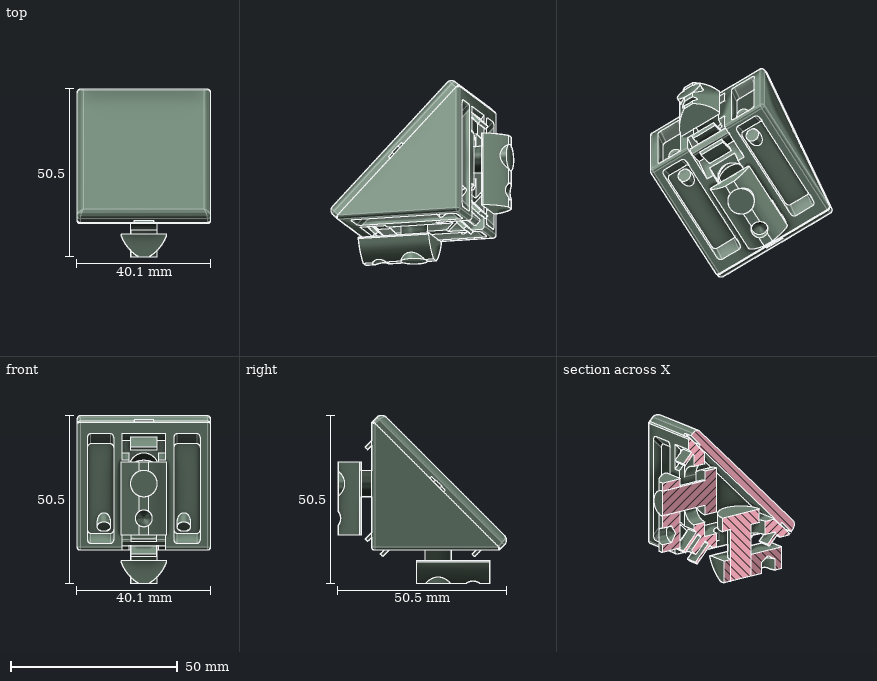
import cadquery as cq
import math


ROOT2 = math.sqrt(2)

RISE = cq.Vector(0, 1, 1)
ALONG_RISE = cq.selectors.ParallelDirSelector(RISE)
OUTERMOST = cq.selectors.DirectionMinMaxSelector(RISE, True)
INNERMOST = cq.selectors.DirectionMinMaxSelector(RISE, False)

width = 40.1
leg_length = 38.3
parting_rise = 39.1
cover_rise = 44.3
edge_radius = 1.0
crown_radius = 2.0

notch_base = 6.0
notch_top = 5.65
notch_height = 0.7
notch_depth = 3.05
notch_inner_width = 2.55
notch_inner_height = 0.85
notch_inner_depth = 2.0

pocket_width = 7.95
pocket_spacing = 25.95
pocket_start = 2.0
pocket_end = 35.0
pocket_depth = 3.05
pin_radius = 2.0
pin_spacing = 23.95
pin_offset = 5.35
pin_tip_rise = 8.75
pin_root_rise = 15.15

channel_width = 13.0
channel_depth = 2.0
ledge_end = 27.1
corner_rise = 11.2

axis_distance = 20.0
slot_radius = 4.4
slot_travel = 9.6
wall = 6.3
cavity_width = 16.15

rib_thickness = 2.5
rib_tip_rise = 3.95
rib_radius = 0.45
tab_thickness = 1.1
outer_tab_width = 8.0
outer_tab_offset = 31.3
outer_tab_tip_rise = 28.95
inner_tab_width = 7.7
inner_tab_offset = 3.75
inner_tab_tip_rise = 1.45

bolt_radius = 4.0
bolt_reach = 10.0
head_radius = 7.0
head_height = 4.4

nut_top = 3.05
nut_half_width = 6.85
nut_shoulder = 0.5
nut_waist = (4.75, 7.2)
nut_tip_half_width = 1.45
nut_short_end = 6.5
nut_long_end = 15.5
nut_corner_radius = 0.4
dimple_distance = 10.45
dimple_radius = 2.5
dimple_depth = 3.55
dimple_cone_height = 1.5


def at(rise, offset):
    """The (Y, Z) point with the given rise and offset."""
    return ((rise - offset) / 2, (rise + offset) / 2)


def prism(points, x_width, x_center=0):
    """A (Y, Z) outline extruded evenly about X = x_center."""
    plane = cq.Workplane("YZ").workplane(offset=x_center)
    return plane.polyline(points).close().extrude(x_width / 2, both=True)


def band(x_width, rise_from, rise_to, offset_from, offset_to):
    """A block bounded by two rises and two offsets."""
    corners = [
        at(rise_from, offset_from),
        at(rise_to, offset_from),
        at(rise_to, offset_to),
        at(rise_from, offset_to),
    ]
    return prism(corners, x_width)


def other_leg(shape):
    """The same feature on the bottom leg."""
    return shape.mirror(cq.Vector(0, 1, -1))


def slope_plane(rise):
    """Work plane parallel to the cover slope, centred on it, with its normal pointing outward."""
    y, z = at(rise, 0)
    return cq.Workplane(cq.Plane(origin=(0, y, z), xDir=(1, 0, 0), normal=(0, 1, 1)))


def make_wedge():
    """The full outside shape of bracket and cover, with its rounded edges."""
    outline = [
        (0, 0),
        (0, leg_length),
        at(cover_rise, leg_length),
        at(cover_rise, -leg_length),
        (leg_length, 0),
    ]
    wedge = prism(outline, width)
    wedge = wedge.faces(OUTERMOST).edges().fillet(crown_radius)
    leg_edges = wedge.edges("|Z or |Y or (<Y and <Z)")
    return leg_edges.add(wedge.edges(ALONG_RISE)).fillet(edge_radius)


def below_parting():
    """Everything on the bracket's side of the parting plane."""
    size = 2 * cover_rise
    return slope_plane(parting_rise).rect(size, size).extrude(-size)


def make_side_pocket(x_center):
    """A shallow pocket in the back leg with slanted end walls."""
    profile = [
        (0, pocket_start),
        (0, pocket_end),
        (pocket_depth, pocket_end - pocket_depth),
        (pocket_depth, pocket_start + pocket_depth),
    ]
    pocket = prism(profile, pocket_width, x_center)
    return pocket.edges("not(|X or |Z)").fillet(edge_radius)


def make_pin(x_center):
    """A locating pin pointing along the rise direction, rooted behind the pocket floor."""
    y, z = at(pin_tip_rise, pin_offset)
    plane = cq.Plane(origin=(x_center, y, z), xDir=(1, 0, 0), normal=(0, 1, 1))
    return cq.Workplane(plane).circle(pin_radius).extrude((pin_root_rise - pin_tip_rise) / ROOT2)


def make_channel():
    """The wide end of the channel, its narrow middle and the slotted hole through the wall."""
    wide_end = [
        (0, ledge_end),
        (0, pocket_end),
        (channel_depth, pocket_end - channel_depth),
        (channel_depth, ledge_end + channel_depth),
    ]
    narrow = [
        (0, corner_rise),
        (0, ledge_end),
        (channel_depth, ledge_end + channel_depth),
        (channel_depth, corner_rise - channel_depth),
    ]
    slot = (
        cq.Workplane("XZ")
        .center(0, axis_distance)
        .slot2D(slot_travel + 2 * slot_radius, 2 * slot_radius, 90)
        .extrude(-wall)
    )
    return prism(wide_end, channel_width).union(prism(narrow, 2 * slot_radius)).union(slot)


def make_tabs():
    """The outer tab at the far end of the channel and the inner tab in the corner recess."""
    step = tab_thickness * ROOT2
    outer = band(
        outer_tab_width, outer_tab_tip_rise, pocket_end, outer_tab_offset, outer_tab_offset + step
    )
    inner = band(
        inner_tab_width, inner_tab_tip_rise, corner_rise, inner_tab_offset, inner_tab_offset + step
    )
    return outer, inner


def make_rib():
    """The rib across the corner recess, with a rounded tip, midway between the two legs."""
    half = rib_thickness / ROOT2
    rib = band(channel_width, rib_tip_rise, corner_rise, -half, half)
    return rib.faces(INNERMOST).edges("|X").fillet(rib_radius)


def make_bracket():
    """The hollow bracket with the channel, pockets, pins and tabs on both legs."""
    bracket = make_wedge().intersect(below_parting())

    cavity = [(wall, wall), (wall, parting_rise - wall), (parting_rise - wall, wall)]
    bracket = bracket.cut(prism(cavity, cavity_width))
    corner_recess = [(0, 0), (0, corner_rise), (corner_rise, 0)]
    bracket = bracket.cut(prism(corner_recess, channel_width))

    cuts = [make_channel()]
    additions = list(make_tabs())
    for side in (-1, 1):
        cuts.append(make_side_pocket(side * pocket_spacing / 2))
        additions.append(make_pin(side * pin_spacing / 2))
    for cut in cuts:
        bracket = bracket.cut(cut).cut(other_leg(cut))
    for addition in additions:
        bracket = bracket.union(addition).union(other_leg(addition))
    return bracket.union(make_rib())


def notch(plane, base, top, height, depth):
    """A trapezoid cut standing on the parting plane and running into the cover."""
    corners = [(-base / 2, 0), (base / 2, 0), (top / 2, height), (-top / 2, height)]
    return cq.Workplane(plane).polyline(corners).close().extrude(-depth)


def make_cover():
    """The part of the wedge above the parting plane, with a pry notch on each of its four sides."""
    cover = make_wedge().cut(below_parting())
    full_depth = notch_depth + notch_inner_depth
    for side in (-1, 1):
        y, z = at(parting_rise, side * leg_length)
        end = cq.Plane(origin=(0, y, z), xDir=(side, 0, 0), normal=(0, -side, side))
        cover = cover.cut(notch(end, notch_base, notch_top, notch_height, full_depth))

        y, z = at(parting_rise, 0)
        flank = cq.Plane(origin=(side * width / 2, y, z), xDir=(0, side, -side), normal=(side, 0, 0))
        cover = cover.cut(notch(flank, notch_base, notch_top, notch_height, notch_depth))
        inner = notch(flank, notch_inner_width, notch_inner_width, notch_inner_height, full_depth)
        cover = cover.cut(inner)
    return cover


def make_bolt():
    """Bolt of the back leg, with its head against the inside of the wall."""
    face = cq.Workplane("XZ").center(0, axis_distance)
    shank = face.workplane(offset=-wall).circle(bolt_radius).extrude(wall + bolt_reach)
    head = face.workplane(offset=-wall).circle(head_radius).extrude(-head_height)
    return shank.union(head)


def make_nut():
    """Nut of the back leg: a rounded keel along Z, with a bolt hole and a dimple."""
    profile = (
        cq.Workplane("XY")
        .moveTo(-nut_half_width, -nut_top)
        .lineTo(nut_half_width, -nut_top)
        .lineTo(nut_half_width, -nut_top - nut_shoulder)
        .threePointArc((nut_waist[0], -nut_waist[1]), (nut_tip_half_width, -bolt_reach))
        .lineTo(-nut_tip_half_width, -bolt_reach)
        .threePointArc((-nut_waist[0], -nut_waist[1]), (-nut_half_width, -nut_top - nut_shoulder))
        .close()
    )
    nut = profile.extrude(nut_short_end + nut_long_end)
    nut = nut.edges("|Z and >Y").fillet(nut_corner_radius)
    nut = nut.translate((0, 0, axis_distance - nut_long_end))

    hole = cq.Workplane("XZ").center(0, axis_distance).circle(bolt_radius).extrude(bolt_reach)
    dimple = (
        cq.Workplane("XY")
        .polyline(
            [
                (0, -bolt_reach),
                (dimple_radius, -bolt_reach),
                (dimple_radius, dimple_depth - bolt_reach),
                (0, dimple_depth + dimple_cone_height - bolt_reach),
            ]
        )
        .close()
        .revolve(360, (0, 0), (0, 1))
        .translate((0, 0, axis_distance - dimple_distance))
    )
    return nut.cut(hole).cut(dimple)


def on_each_leg(body):
    """A copy for the back leg and one turned a quarter about the X axis for the bottom leg."""
    turned = body.rotate((0, 0, 0), (1, 0, 0), 90).translate((0, 2 * axis_distance, 0))
    return [body.val(), turned.val()]


bracket = make_bracket()
cover = make_cover()
bolts = on_each_leg(make_bolt())
nuts = on_each_leg(make_nut())

result = cq.Compound.makeCompound([bracket.val(), cover.val(), *bolts, *nuts])